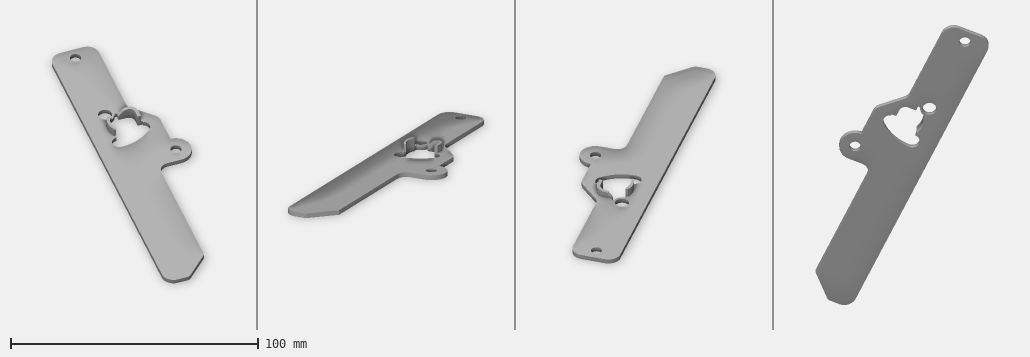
import cadquery as cq
import math

length = 140.0
bar_width = 20.0
thickness = 2.0
total_height = 5.6
corner_radius = 5.0
end_chamfer = 10.0
chamfer_round = 2.0
blend_radius = 4.0

shoulder_y = 30.1
shoulder_foot_x = 38.5
shoulder_top_x = shoulder_foot_x + shoulder_y - bar_width
lug_x = 68.6
lug_radius = 6.5

hole_radius = 2.2
end_hole_x = 4.9
middle_y = bar_width / 2
pivot_x = 39.9
pivot_radius = 2.8
pivot_rim_radius = 3.8

slot_path_radius = 17.0
slot_half_width = 3.0
slot_sweep = 45.0
pocket_x = 48.6
pocket_y = 15.1
pocket_radius = 7.8

rib_outer_radius = 7.1
rib_thickness = 1.4
upper_rib_start_y = 14.7
upper_rib_bend = 4.0
upper_rib_height = 3.2
ramp_break_y = 16.8
ramp_break_height = 2.4
ramp_middle_y = 19.3
ramp_middle_height = 3.0
lower_rib_left = 44.8
lower_rib_right = 52.8
lower_rib_bend = 50.3
lower_rib_end_y = 9.1
lower_rib_chamfer = 0.4
ledge_y = 10.1
ledge_left = 45.5
ledge_dip = 0.8
ledge_drop = 1.0


def polar(center_x, center_y, radius, degrees):
    """Point at an angle on a circle."""
    angle = math.radians(degrees)
    return center_x + radius * math.cos(angle), center_y + radius * math.sin(angle)


def disc(x, y, radius, height):
    return cq.Workplane("XY").center(x, y).circle(radius).extrude(height)


def sector(x, y, inner, outer, start, end, height):
    """Part of a flat ring between two angles."""
    middle = (start + end) / 2
    return (
        cq.Workplane("XY")
        .moveTo(*polar(x, y, inner, start))
        .lineTo(*polar(x, y, outer, start))
        .threePointArc(polar(x, y, outer, middle), polar(x, y, outer, end))
        .lineTo(*polar(x, y, inner, end))
        .threePointArc(polar(x, y, inner, middle), polar(x, y, inner, start))
        .close()
        .extrude(height)
    )


def round_corner(body, x, y, radius):
    """Round the vertical edge at one outline corner."""
    return body.edges(cq.selectors.NearestToPointSelector((x, y, thickness / 2))).fillet(radius)


def make_blank():
    lug_right = lug_x + lug_radius
    body = (
        cq.Workplane("XY")
        .moveTo(0, 0)
        .lineTo(length, 0)
        .lineTo(length, bar_width - end_chamfer)
        .lineTo(length - end_chamfer, bar_width)
        .lineTo(lug_right, bar_width)
        .lineTo(lug_right, shoulder_y)
        .threePointArc((lug_x, shoulder_y + lug_radius), (lug_x - lug_radius, shoulder_y))
        .lineTo(shoulder_top_x, shoulder_y)
        .lineTo(shoulder_foot_x, bar_width)
        .lineTo(0, bar_width)
        .close()
        .extrude(thickness)
    )
    for x, y, radius in (
        (0, 0, corner_radius),
        (0, bar_width, corner_radius),
        (length, 0, corner_radius),
        (length, bar_width - end_chamfer, chamfer_round),
        (lug_right, bar_width, blend_radius),
        (shoulder_top_x, shoulder_y, blend_radius),
        (shoulder_foot_x, bar_width, blend_radius),
    ):
        body = round_corner(body, x, y, radius)
    return body


def make_slot():
    slot = sector(
        pivot_x,
        middle_y,
        slot_path_radius - slot_half_width,
        slot_path_radius + slot_half_width,
        0,
        slot_sweep,
        thickness,
    )
    for angle in (0, slot_sweep):
        x, y = polar(pivot_x, middle_y, slot_path_radius, angle)
        slot = slot.union(disc(x, y, slot_half_width, thickness))
    return slot


def make_upper_rib_strip(height):
    """Hook-shaped strip: up the left of the pocket, round a bend, then along its top."""
    left = pocket_x - rib_outer_radius
    top = pocket_y + rib_outer_radius
    bend_x = left + upper_rib_bend
    bend_y = top - upper_rib_bend
    inner_bend = upper_rib_bend - rib_thickness
    return (
        cq.Workplane("XY")
        .moveTo(left, upper_rib_start_y)
        .lineTo(left, bend_y)
        .threePointArc(polar(bend_x, bend_y, upper_rib_bend, 135), (bend_x, top))
        .lineTo(pocket_x, top)
        .lineTo(pocket_x, top - rib_thickness)
        .lineTo(bend_x, top - rib_thickness)
        .threePointArc(polar(bend_x, bend_y, inner_bend, 135), (left + rib_thickness, bend_y))
        .lineTo(left + rib_thickness, upper_rib_start_y)
        .close()
        .extrude(height)
    )


def make_upper_land():
    """Plate that stays below and outside the upper rib."""
    outer_corner = (
        cq.Workplane("XY")
        .moveTo(pocket_x - pocket_radius, upper_rib_start_y)
        .lineTo(pocket_x - rib_outer_radius, upper_rib_start_y)
        .lineTo(pocket_x - rib_outer_radius, pocket_y + rib_outer_radius - upper_rib_bend)
        .lineTo(pocket_x - rib_outer_radius + upper_rib_bend, pocket_y + rib_outer_radius)
        .lineTo(pocket_x, pocket_y + rib_outer_radius)
        .lineTo(pocket_x, pocket_y + pocket_radius)
        .lineTo(pocket_x - pocket_radius, pocket_y + pocket_radius)
        .close()
        .extrude(thickness)
    )
    return outer_corner.union(make_upper_rib_strip(thickness))


def make_ledge(height):
    """Area below the dished lower edge of the pocket, which falls away toward the slot."""
    ledge_right = pivot_x + slot_path_radius
    dip_middle = (ledge_left + lower_rib_right) / 2
    return (
        cq.Workplane("XY")
        .moveTo(pivot_x, 0)
        .lineTo(ledge_right, 0)
        .lineTo(ledge_right, ledge_y - ledge_drop)
        .lineTo(lower_rib_right, ledge_y)
        .threePointArc((dip_middle, ledge_y - ledge_dip), (ledge_left, ledge_y))
        .lineTo(pivot_x, ledge_y)
        .close()
        .extrude(height)
    )


def make_window():
    pocket = (
        disc(pocket_x, pocket_y, pocket_radius, thickness)
        .cut(disc(pivot_x, middle_y, pivot_rim_radius, thickness))
        .cut(make_upper_land())
        .cut(make_ledge(thickness))
    )
    return pocket.union(make_slot())


def make_upper_rib():
    """Rib whose top ramps up from the plate, first steeply and then gently."""
    top_y = pocket_y + rib_outer_radius
    profile = (
        cq.Workplane("YZ")
        .moveTo(upper_rib_start_y, 0)
        .lineTo(upper_rib_start_y, thickness)
        .lineTo(ramp_break_y, thickness + ramp_break_height)
        .threePointArc(
            (ramp_middle_y, thickness + ramp_middle_height),
            (top_y, thickness + upper_rib_height),
        )
        .lineTo(top_y, 0)
        .close()
        .extrude(length)
    )
    return make_upper_rib_strip(total_height).intersect(profile)


def make_lower_rib():
    """Rib with a round outer face that turns straight near its right end."""
    bend_angle = -math.degrees(math.acos((lower_rib_bend - pocket_x) / rib_outer_radius))
    left_angle = -math.degrees(math.acos((lower_rib_left - pocket_x) / rib_outer_radius))
    rib = (
        cq.Workplane("XY")
        .moveTo(lower_rib_left, ledge_y)
        .lineTo(*polar(pocket_x, pocket_y, rib_outer_radius, left_angle))
        .threePointArc(
            polar(pocket_x, pocket_y, rib_outer_radius, (left_angle + bend_angle) / 2),
            polar(pocket_x, pocket_y, rib_outer_radius, bend_angle),
        )
        .lineTo(lower_rib_right, lower_rib_end_y)
        .lineTo(lower_rib_right, ledge_y)
        .close()
        .extrude(total_height)
    )
    rib = rib.faces(">X").edges(">Z").chamfer(lower_rib_chamfer)
    return rib.intersect(make_ledge(total_height))


result = make_blank().cut(make_window())
for hole_x, hole_y, radius in (
    (end_hole_x, middle_y, hole_radius),
    (lug_x, shoulder_y, hole_radius),
    (pivot_x, middle_y, pivot_radius),
):
    result = result.cut(disc(hole_x, hole_y, radius, thickness))
result = result.union(make_upper_rib()).union(make_lower_rib())